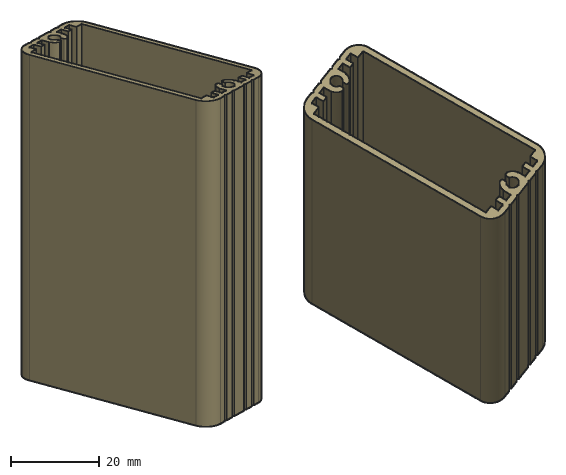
import cadquery as cq

length = 80.0
width = 54.0
depth = 23.0
corner_radius = 4.0
wall = 1.5

rail_thickness = 3.5
slot_spans = [(3.0, 4.7), (6.1, 7.9)]

screw_radius = 1.4
boss_radius = slot_spans[0][0]
split_width = 1.2
tip_reach = 5.5
tip_radius = 0.4
selection_margin = 0.1

groove_offsets = [2.3, 5.4]
groove_width = 0.8
groove_depth = 0.3

half_width = width / 2
cavity_half_width = half_width - rail_thickness
screw_center = half_width - wall - screw_radius
tip_x = half_width - tip_reach


def block(x_min, x_max, y_min, y_max):
    """Full-length rectangular bar between the given X and Y limits."""
    return (
        cq.Workplane("XY")
        .center((x_min + x_max) / 2, (y_min + y_max) / 2)
        .rect(x_max - x_min, y_max - y_min)
        .extrude(length)
    )


def make_tube():
    """Rounded outer bar with the main rectangular cavity."""
    outer = block(-half_width, half_width, -depth / 2, depth / 2).edges("|Z").fillet(corner_radius)
    cavity_half_depth = depth / 2 - wall
    return outer.cut(block(-cavity_half_width, cavity_half_width, -cavity_half_depth, cavity_half_depth))


def make_slots():
    """Guide slots in the +X rail, on both sides of the screw channel."""
    slots = cq.Workplane("XY")
    for near, far in slot_spans:
        for y_min, y_max in [(near, far), (-far, -near)]:
            slots = slots.add(block(cavity_half_width, half_width - wall, y_min, y_max))
    return slots.combine()


def make_boss():
    """Round-nosed +X screw boss, trimmed flat and split, with rounded slit mouth."""
    nose = cq.Workplane("XY").center(screw_center, 0).circle(boss_radius).extrude(length)
    root = block(screw_center, half_width - wall, -boss_radius, boss_radius)
    envelope = block(tip_x, half_width - wall, -boss_radius, boss_radius)
    boss = nose.union(root).intersect(envelope)
    boss = boss.cut(block(tip_x, screw_center, -split_width / 2, split_width / 2))
    mouth = cq.selectors.BoxSelector(
        (tip_x - selection_margin, -split_width, 0),
        (tip_x + selection_margin, split_width, length),
    )
    return boss.edges("|Z").edges(mouth).fillet(tip_radius)


def make_screw_channel():
    """Round screw channel and its slit on the +X side."""
    channel = cq.Workplane("XY").center(screw_center, 0).circle(screw_radius).extrude(length)
    return channel.union(block(tip_x, screw_center, -split_width / 2, split_width / 2))


def make_grooves():
    """Full-length V grooves on the +X outer face."""
    grooves = cq.Workplane("XY")
    for offset in groove_offsets:
        for y in (-offset, offset):
            groove = (
                cq.Workplane("XY")
                .moveTo(half_width, y - groove_width / 2)
                .lineTo(half_width - groove_depth, y)
                .lineTo(half_width, y + groove_width / 2)
                .close()
                .extrude(length)
            )
            grooves = grooves.add(groove)
    return grooves.combine()


def on_both_sides(body):
    """Add the mirror image across the YZ plane."""
    return body.union(body.mirror("YZ"))


result = make_tube().cut(on_both_sides(make_slots()))
result = result.union(on_both_sides(make_boss()))
result = result.cut(on_both_sides(make_screw_channel()))
result = result.cut(on_both_sides(make_grooves()))